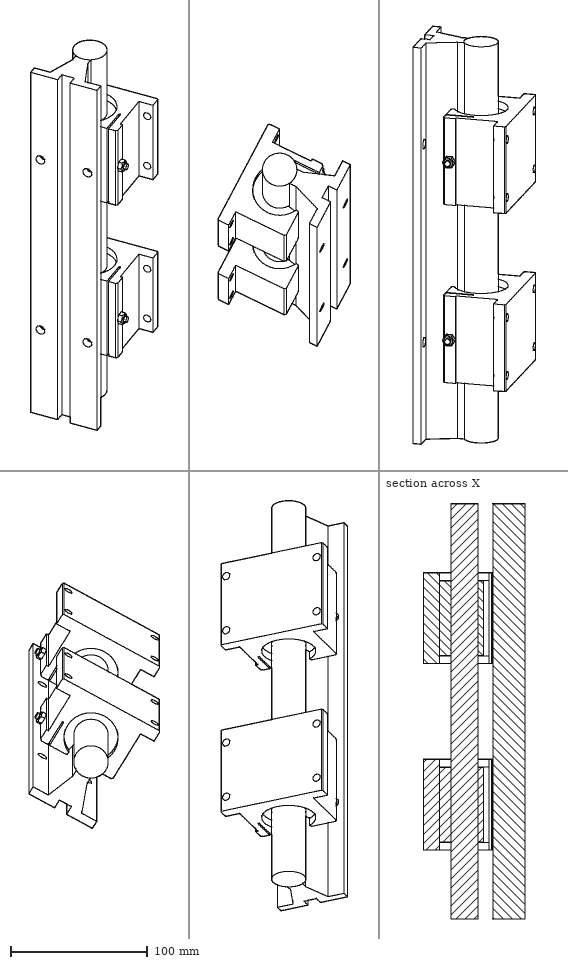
import cadquery as cq
import math


guide_length = 304.8
shaft_dia = 25.3

rail_base_width = 54.0
rail_base_thickness = 6.5
rail_bottom_y = -44.5
rail_foot_width = 28.3
rail_neck_width = 12.2
rail_neck_y = -16.5
rail_groove_width = 10.0
rail_groove_depth = 7.0
rail_hole_dia = 7.0
rail_hole_spacing_x = 38.0
rail_hole_spacing_z = guide_length / 2

block_spacing = 137.0
block_length = 66.8
block_top_y = 30.2
block_bottom_y = -20.0
block_half_width = 30.0
flange_width = 82.5
flange_thickness = 9.0
flange_corner = 1.0
block_chamfer = 1.2
jaw_pad_thickness = 1.8
jaw_pad_top_y = -10.7
mount_hole_dia = 5.8
mount_hole_spacing_x = 73.0
mount_hole_spacing_z = 44.5
slit_width = 1.2
slit_x = 24.0
slit_top_y = 0.5

bearing_dia = 39.5
bearing_recess = 5.8
bearing_length = block_length - 2 * bearing_recess
mouth_inner_y = -9.0
mouth_inner_width = 13.0
mouth_outer_width = 18.0

screw_y = -15.2
nut_across_flats = 8.0
nut_thickness = 4.0
nut_corner_bevel = 1.2
screw_tip_dia = 4.3
screw_tip_length = 1.8


def centred_prism(outline, length):
    """Extrude an XY outline along Z, with its middle at Z = 0."""
    return outline.extrude(length).translate((0, 0, -length / 2))


def y_holes(diameter, spacing_x, spacing_z):
    """Four long cylinders along Y at the corners of a rectangle in XZ."""
    return (
        cq.Workplane("XZ")
        .rarray(spacing_x, spacing_z, 2, 2)
        .circle(diameter / 2)
        .extrude(flange_width, both=True)
    )


def make_shaft():
    return centred_prism(cq.Workplane("XY").circle(shaft_dia / 2), guide_length)


def make_rail():
    base_top_y = rail_bottom_y + rail_base_thickness
    groove_top_y = rail_bottom_y + rail_groove_depth
    shaft_radius = shaft_dia / 2
    seat_x = rail_neck_width / 2
    seat_y = -math.sqrt(shaft_radius**2 - seat_x**2)
    outline = (
        cq.Workplane("XY")
        .moveTo(rail_groove_width / 2, rail_bottom_y)
        .lineTo(rail_base_width / 2, rail_bottom_y)
        .lineTo(rail_base_width / 2, base_top_y)
        .lineTo(rail_foot_width / 2, base_top_y)
        .lineTo(seat_x, rail_neck_y)
        .lineTo(seat_x, seat_y)
        .threePointArc((0, -shaft_radius), (-seat_x, seat_y))
        .lineTo(-seat_x, rail_neck_y)
        .lineTo(-rail_foot_width / 2, base_top_y)
        .lineTo(-rail_base_width / 2, base_top_y)
        .lineTo(-rail_base_width / 2, rail_bottom_y)
        .lineTo(-rail_groove_width / 2, rail_bottom_y)
        .lineTo(-rail_groove_width / 2, groove_top_y)
        .lineTo(rail_groove_width / 2, groove_top_y)
        .close()
    )
    rail = centred_prism(outline, guide_length)
    return rail.cut(y_holes(rail_hole_dia, rail_hole_spacing_x, rail_hole_spacing_z))


def make_mouth():
    """Wedge, wider towards the rail, that opens the block and the bearing."""
    outline = cq.Workplane("XY").polyline([
        (-mouth_inner_width / 2, mouth_inner_y),
        (mouth_inner_width / 2, mouth_inner_y),
        (mouth_outer_width / 2, block_bottom_y),
        (-mouth_outer_width / 2, block_bottom_y),
    ]).close()
    return centred_prism(outline, block_length)


def make_block_profile():
    """Flanged body with the thicker clamping jaw on its +X side."""
    flange_bottom_y = block_top_y - flange_thickness
    flange_x = flange_width / 2
    pad_x = block_half_width + jaw_pad_thickness
    outline = cq.Workplane("XY").polyline([
        (-flange_x + flange_corner, block_top_y),
        (flange_x - flange_corner, block_top_y),
        (flange_x, block_top_y - flange_corner),
        (flange_x, flange_bottom_y),
        (block_half_width, flange_bottom_y),
        (block_half_width, jaw_pad_top_y),
        (pad_x, jaw_pad_top_y),
        (pad_x, block_bottom_y + block_chamfer),
        (pad_x - block_chamfer, block_bottom_y),
        (-block_half_width + block_chamfer, block_bottom_y),
        (-block_half_width, block_bottom_y + block_chamfer),
        (-block_half_width, flange_bottom_y),
        (-flange_x, flange_bottom_y),
        (-flange_x, block_top_y - flange_corner),
    ]).close()
    return centred_prism(outline, block_length)


def make_slit():
    """Adjusting slit beside the bearing, open at the lower face."""
    height = slit_top_y - block_bottom_y
    centre_y = (slit_top_y + block_bottom_y) / 2
    outline = cq.Workplane("XY").center(slit_x, centre_y).rect(slit_width, height)
    return centred_prism(outline, block_length)


def make_adjusting_screw():
    """Hexagon nut with bevelled corners and the screw tip standing out of it, along +X.

    The conical end of an oversized round blank cuts the bevel off the nut's outer corners.
    """
    seat_x = block_half_width + jaw_pad_thickness
    seat = cq.Workplane("YZ", origin=(seat_x, screw_y, 0))
    corner_dia = nut_across_flats / math.cos(math.pi / 6)
    nut = seat.polygon(6, corner_dia).extrude(nut_thickness)
    blank_radius = corner_dia / 2 + nut_corner_bevel
    blank = seat.circle(blank_radius).extrude(nut_thickness)
    blank = blank.faces(">X").chamfer(2 * nut_corner_bevel)
    tip = seat.circle(screw_tip_dia / 2).extrude(nut_thickness + screw_tip_length)
    return nut.intersect(blank).union(tip)


def make_block():
    bore = centred_prism(cq.Workplane("XY").circle(bearing_dia / 2), block_length)
    return (
        make_block_profile()
        .cut(bore)
        .cut(make_mouth())
        .cut(make_slit())
        .cut(y_holes(mount_hole_dia, mount_hole_spacing_x, mount_hole_spacing_z))
        .union(make_adjusting_screw())
    )


def make_bearing():
    ring = cq.Workplane("XY").circle(bearing_dia / 2).circle(shaft_dia / 2)
    return centred_prism(ring, bearing_length).cut(make_mouth())


shaft = make_shaft()
rail = make_rail()

blocks = []
bearings = []
for block_z in (-block_spacing / 2, block_spacing / 2):
    place = cq.Vector(0, 0, block_z)
    blocks.append(make_block().translate(place).val())
    bearings.append(make_bearing().translate(place).val())

result = cq.Compound.makeCompound([shaft.val(), rail.val(), *blocks, *bearings])